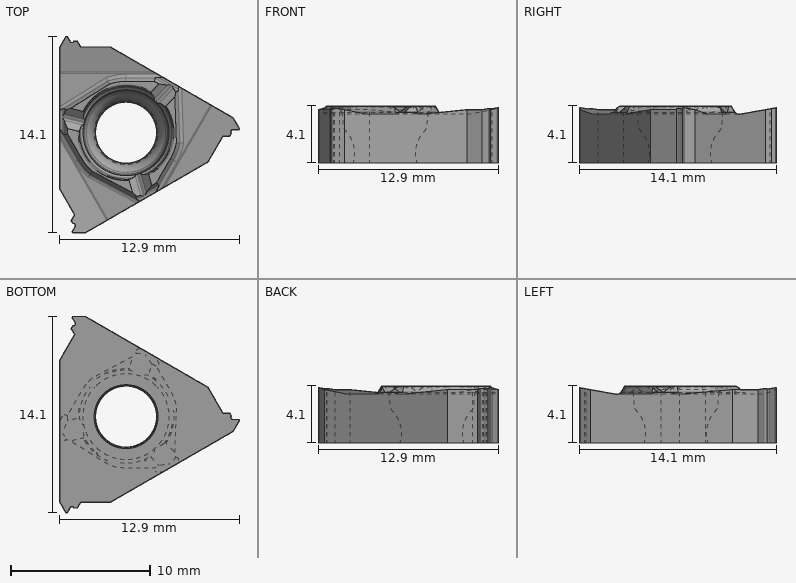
import cadquery as cq
import math

floor_height = 3.53
ledge_height = 3.63
boss_height = 4.1

flank_distance = 4.77
flank_angle = 60
far_flank_angle = flank_angle + 120
turns = (0, 120, 240)
tip_angle = 90

tip_reach = 6.91
tip_slope_distance = 7.2
tip_slope_angle = 150
apex_width = 1.2
apex_round = 0.08
groove_corner_round = 0.03
shoulder_y = 6.15
valley_y = 6.48
valley_width = 0.15
step_y = 6.58
step_start_x = -3.75
step_width = 0.25
tooth_slope = math.tan(math.radians(60))

ramp_start = 4.3
ramp_angle = 10
ramp_foot_fillet = 0.45

boss_radius = 4.02
boss_end_angle = flank_angle
boss_end_distance = 4.49
boss_short_wall_angle = 90
boss_long_wall_angle = 122
boss_long_wall_distance = 3.92
boss_wall_taper = 30
boss_foot_fillet = 0.31
ledge_fillet = 0.15

groove_angle = 46
groove_half_width = 0.73
groove_floor_width = 0.28
groove_round = 0.28

throat_radius = 2.19
throat_height = 0.7
trumpet_radius = 2.35
trumpet_top_angle = 44
seat_round = 0.52
bore_taper = 5.6
bore_top_height = 3.64
rim_cone_slope = 22
rim_foot_round = 0.4
rim_foot_angle = 62
rim_edge_round = 0.1


def line_crossing(angle_1, distance_1, angle_2, distance_2):
    """Crossing of two lines given by their normal angles and distances from the centre."""
    a = math.radians(angle_1)
    b = math.radians(angle_2)
    spread = math.sin(b - a)
    x = (distance_1 * math.sin(b) - distance_2 * math.sin(a)) / spread
    y = (distance_2 * math.cos(a) - distance_1 * math.cos(b)) / spread
    return (x, y)


def turned(point, angle):
    c = math.cos(math.radians(angle))
    s = math.sin(math.radians(angle))
    return (point[0] * c - point[1] * s, point[0] * s + point[1] * c)


def tip_points():
    """Outline of the +Y tip, from its right end on the flank to its left corner."""
    valley_left_x = step_start_x - (step_y - valley_y) / tooth_slope - valley_width
    step_end_x = step_start_x + step_width
    apex_left = line_crossing(tip_angle, tip_reach, tip_slope_angle, tip_slope_distance)
    return [
        line_crossing(flank_angle, flank_distance, tip_angle, shoulder_y),
        (step_end_x + (step_y - shoulder_y) / tooth_slope, shoulder_y),
        (step_end_x, step_y),
        (step_start_x, step_y),
        (valley_left_x + valley_width, valley_y),
        (valley_left_x, valley_y),
        (valley_left_x - (tip_reach - valley_y) / tooth_slope, tip_reach),
        apex_left,
        line_crossing(tip_slope_angle, tip_slope_distance, far_flank_angle, flank_distance),
    ]


def make_outline_prism():
    tip = tip_points()
    points = [turned(p, turn) for turn in turns for p in tip]
    prism = cq.Workplane("XY").polyline(points).close().extrude(boss_height)
    for corners, radius in ((tip[2:6], groove_corner_round), (tip[6:8], apex_round)):
        for turn in turns:
            for corner in corners:
                x, y = turned(corner, turn)
                at_corner = cq.selectors.NearestToPointSelector((x, y, boss_height / 2))
                prism = prism.edges("|Z").edges(at_corner).fillet(radius)
    return prism


def wall_profile(foot, land_height, fillet):
    """Section of the space outside a boss wall: slope, foot fillet and land, foot at x = foot."""
    taper = math.radians(boss_wall_taper)
    tangent = fillet * math.tan((math.pi / 2 - taper) / 2)
    centre = (foot + tangent, land_height + fillet)
    middle_angle = math.radians(180 + (boss_wall_taper + 90) / 2)
    arc_middle = (
        centre[0] + fillet * math.cos(middle_angle),
        centre[1] + fillet * math.sin(middle_angle),
    )
    far = 2 * tip_reach
    return (
        cq.Workplane("XZ")
        .moveTo(foot - (boss_height - land_height) * math.tan(taper), boss_height)
        .lineTo(foot - tangent * math.sin(taper), land_height + tangent * math.cos(taper))
        .threePointArc(arc_middle, (foot + tangent, land_height))
        .lineTo(far, land_height)
        .lineTo(far, boss_height)
        .close()
    )


def make_wall_cutter(angle, foot, land_height=floor_height, fillet=boss_foot_fillet):
    """Clears the land outside a straight boss wall whose normal points along the angle."""
    cutter = wall_profile(foot, land_height, fillet).extrude(2 * tip_reach, both=True)
    return cutter.rotate((0, 0, 0), (0, 0, 1), angle)


def make_corner_cutter(start_angle, end_angle):
    """Clears the land outside the conical corner between two boss walls."""
    profile = wall_profile(boss_radius, floor_height, boss_foot_fillet)
    cutter = profile.revolve(end_angle - start_angle, (0, 0, 0), (0, -1, 0))
    return cutter.rotate((0, 0, 0), (0, 0, 1), end_angle)


def make_ramp(direction):
    """Wedge that rises outward along one tip."""
    angle = math.radians(ramp_angle)
    tangent = ramp_foot_fillet * math.tan(angle / 2)
    length = 2 * tip_reach - ramp_start
    fillet_start = ramp_start - tangent
    fillet_middle = (
        fillet_start + ramp_foot_fillet * math.sin(angle / 2),
        floor_height + ramp_foot_fillet * (1 - math.cos(angle / 2)),
    )
    fillet_end = (
        ramp_start + tangent * math.cos(angle),
        floor_height + tangent * math.sin(angle),
    )
    wedge = (
        cq.Workplane("XZ")
        .moveTo(fillet_start, 0)
        .lineTo(fillet_start, floor_height)
        .threePointArc(fillet_middle, fillet_end)
        .lineTo(ramp_start + length, floor_height + length * math.tan(angle))
        .lineTo(ramp_start + length, 0)
        .close()
        .extrude(2 * flank_distance, both=True)
    )
    return wedge.rotate((0, 0, 0), (0, 0, 1), direction)


def make_groove(angle):
    """Radial V groove with a narrow, rounded floor."""
    half_floor = groove_floor_width / 2
    cutter = (
        cq.Workplane("YZ")
        .moveTo(-half_floor, ledge_height)
        .lineTo(half_floor, ledge_height)
        .lineTo(groove_half_width, boss_height)
        .lineTo(-groove_half_width, boss_height)
        .close()
        .extrude(1.5 * flank_distance)
    )
    cutter = cutter.edges("|X and <Z").fillet(groove_round)
    return cutter.rotate((0, 0, 0), (0, 0, 1), angle)


def arc_offset(radius, start_angle, end_angle):
    """Radial and vertical step along an arc between two slopes measured from vertical."""
    across = radius * abs(math.cos(start_angle) - math.cos(end_angle))
    up = radius * abs(math.sin(end_angle) - math.sin(start_angle))
    return (across, up)


def make_hole():
    """Screw hole: rounded rim, cone, tapered bore and a trumpet-shaped seat."""
    seat_slope = math.radians(trumpet_top_angle)
    taper = math.radians(bore_taper)
    cone = math.radians(rim_cone_slope)
    foot_slope = math.radians(rim_foot_angle)
    bottom_slope = math.asin(throat_height / trumpet_radius)

    def above(point, offset):
        return (point[0] + offset[0], point[1] + offset[1])

    def below(point, offset):
        return (point[0] + offset[0], point[1] - offset[1])

    throat = (throat_radius, throat_height)
    bottom = below(throat, arc_offset(trumpet_radius, 0, bottom_slope))
    seat = above(throat, arc_offset(trumpet_radius, 0, seat_slope))
    seat_middle_slope = (seat_slope + taper) / 2
    seat_round_middle = above(seat, arc_offset(seat_round, seat_slope, seat_middle_slope))
    bore_bottom = above(seat, arc_offset(seat_round, seat_slope, taper))
    bore_height = bore_top_height - bore_bottom[1]
    bore_top = above(bore_bottom, (bore_height * math.tan(taper), bore_height))

    foot_middle_slope = (foot_slope + cone) / 2
    foot_middle = above(bore_top, arc_offset(rim_foot_round, foot_slope, foot_middle_slope))
    cone_bottom = above(bore_top, arc_offset(rim_foot_round, foot_slope, cone))
    cone_height = boss_height - arc_offset(rim_edge_round, cone, math.pi / 2)[1] - cone_bottom[1]
    cone_top = above(cone_bottom, (cone_height * math.tan(cone), cone_height))
    edge_middle = above(cone_top, arc_offset(rim_edge_round, cone, (cone + math.pi / 2) / 2))
    rim = above(cone_top, arc_offset(rim_edge_round, cone, math.pi / 2))

    profile = (
        cq.Workplane("XZ")
        .lineTo(*bottom)
        .threePointArc(throat, seat)
        .threePointArc(seat_round_middle, bore_bottom)
        .lineTo(*bore_top)
        .threePointArc(foot_middle, cone_bottom)
        .lineTo(*cone_top)
        .threePointArc(edge_middle, rim)
        .lineTo(0, boss_height)
        .close()
    )
    return profile.revolve(360, (0, 0, 0), (0, 1, 0))


outline_prism = make_outline_prism()
body = outline_prism
for turn in turns:
    body = body.cut(
        make_wall_cutter(boss_end_angle + turn, boss_end_distance, ledge_height, ledge_fillet)
    )
    body = body.cut(make_wall_cutter(boss_short_wall_angle + turn, boss_radius))
    body = body.cut(make_wall_cutter(boss_long_wall_angle + turn, boss_long_wall_distance))
    body = body.cut(make_corner_cutter(boss_short_wall_angle + turn, boss_long_wall_angle + turn))
for turn in turns:
    body = body.union(make_ramp(tip_angle + turn).intersect(outline_prism))
for turn in turns:
    body = body.cut(make_groove(groove_angle + turn))
result = body.cut(make_hole())